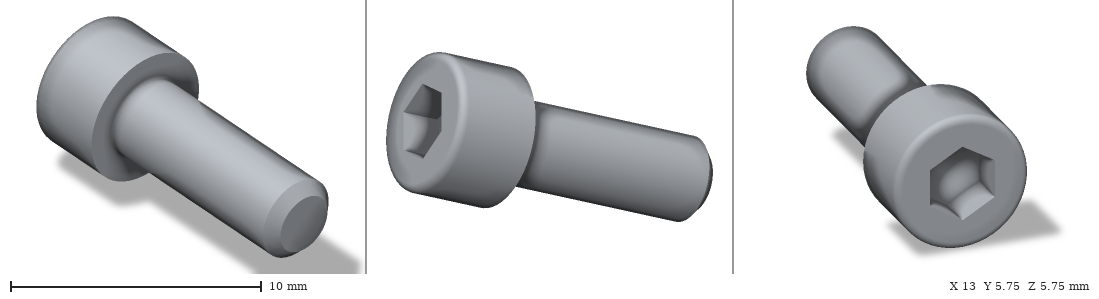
import cadquery as cq
import math

total_length = 13.03
head_diameter = 5.75
shank_diameter = 3.5
head_height = shank_diameter
head_round = 0.33
neck_fillet = 0.12
tip_chamfer = 0.5

socket_flats = 2.78
socket_depth = 1.62
floor_cone_angle = 120.0

socket_corners = socket_flats / math.cos(math.radians(30))
corner_radius = socket_corners / 2
cone_depth = corner_radius / math.tan(math.radians(floor_cone_angle / 2))


def make_body():
    head = cq.Workplane("YZ").circle(head_diameter / 2).extrude(head_height)
    head = head.faces("<X").edges().fillet(head_round)
    shank = (
        cq.Workplane("YZ", origin=(head_height, 0, 0))
        .circle(shank_diameter / 2)
        .extrude(total_length - head_height)
        .faces(">X")
        .chamfer(tip_chamfer)
    )
    neck = cq.selectors.BoxSelector(
        (head_height - neck_fillet, -shank_diameter, -shank_diameter),
        (head_height + neck_fillet, shank_diameter, shank_diameter),
        boundingbox=True,
    )
    body = head.union(shank)
    return body.edges(neck).edges(cq.selectors.RadiusNthSelector(0)).fillet(neck_fillet)


def make_socket():
    hexagon = (
        cq.Workplane("YZ")
        .polygon(6, socket_corners)
        .extrude(socket_depth + cone_depth)
        .rotate((0, 0, 0), (1, 0, 0), 90)
    )
    pointed_bore = (
        cq.Workplane("XY")
        .polyline([
            (0, 0),
            (0, corner_radius),
            (socket_depth, corner_radius),
            (socket_depth + cone_depth, 0),
        ])
        .close()
        .revolve(360, (0, 0, 0), (1, 0, 0))
    )
    return hexagon.intersect(pointed_bore)


result = make_body().cut(make_socket())